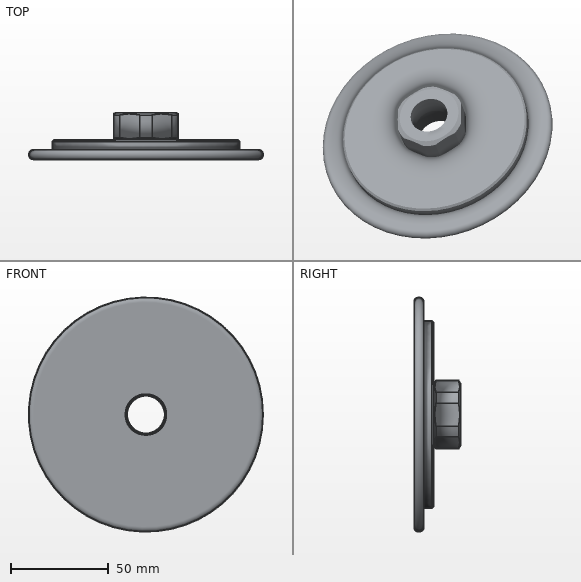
import cadquery as cq
import math

DISC_DIAMETER = 120.0
TOTAL_DEPTH = 24.0
DISC_THICKNESS = TOTAL_DEPTH * 5 / 24
BACKING_DIAMETER = 96.0
BACKING_THICKNESS = DISC_THICKNESS
BACKING_CHAMFER = 1.0
NUT_HEIGHT = TOTAL_DEPTH - DISC_THICKNESS - BACKING_THICKNESS
NUT_ACROSS_FLATS = 33.0
NUT_CORNER_DIAMETER = 35.0
NUT_CHAMFER_WIDTH = 2.2
NUT_CHAMFER_ANGLE = 30.0
DISC_BORE_DIAMETER = 20.0
DISC_BORE_CHAMFER = 0.5
NUT_BORE_DIAMETER = 19.2
SPIGOT_DIAMETER = 24.0
SPIGOT_ENGAGEMENT = 1.8

FRONT_Y = -TOTAL_DEPTH / 2
BACKING_Y = FRONT_Y + DISC_THICKNESS
NUT_Y = BACKING_Y + BACKING_THICKNESS
BACK_Y = NUT_Y + NUT_HEIGHT
SPIGOT_END_Y = NUT_Y + SPIGOT_ENGAGEMENT


def plane_at(y):
    """Plane whose normal points along +Y and whose local x is +X."""
    return cq.Workplane(cq.Plane(origin=(0, y, 0), xDir=(1, 0, 0), normal=(0, 1, 0)))


def revolve_about_y(profile):
    return profile.close().revolve(360, (0, 0, 0), (0, 1, 0))


def make_disc():
    """Disc with a fully rounded rim, a hollow spigot on its back and a bore chamfered at the front."""
    rim_radius = DISC_THICKNESS / 2
    flat_radius = DISC_DIAMETER / 2 - rim_radius
    spigot_radius = SPIGOT_DIAMETER / 2
    bore_radius = DISC_BORE_DIAMETER / 2
    profile = (
        cq.Workplane("XY")
        .moveTo(bore_radius + DISC_BORE_CHAMFER, FRONT_Y)
        .lineTo(flat_radius, FRONT_Y)
        .threePointArc((DISC_DIAMETER / 2, FRONT_Y + rim_radius), (flat_radius, BACKING_Y))
        .lineTo(spigot_radius, BACKING_Y)
        .lineTo(spigot_radius, SPIGOT_END_Y)
        .lineTo(bore_radius, SPIGOT_END_Y)
        .lineTo(bore_radius, FRONT_Y + DISC_BORE_CHAMFER)
    )
    return revolve_about_y(profile)


def make_backing_plate():
    """Ring that fits over the spigot, chamfered around the outer edge of its back."""
    blank = plane_at(BACKING_Y).circle(BACKING_DIAMETER / 2).extrude(BACKING_THICKNESS)
    chamfered = blank.faces(">Y").edges().chamfer(BACKING_CHAMFER)
    hole = plane_at(BACKING_Y).circle(SPIGOT_DIAMETER / 2).extrude(BACKING_THICKNESS)
    return chamfered.cut(hole)


def make_nut():
    """Hexagon with flats at +X and -X, rounded and chamfered at its corners, recessed for the spigot."""
    point_diameter = NUT_ACROSS_FLATS / math.cos(math.radians(30))
    hexagon = (
        plane_at(NUT_Y)
        .transformed(rotate=(0, 0, 30))
        .polygon(6, point_diameter)
        .extrude(NUT_HEIGHT)
    )
    corner_radius = NUT_CORNER_DIAMETER / 2
    end_radius = corner_radius - NUT_CHAMFER_WIDTH
    chamfer_depth = NUT_CHAMFER_WIDTH * math.tan(math.radians(NUT_CHAMFER_ANGLE))
    bore_radius = NUT_BORE_DIAMETER / 2
    recess_radius = SPIGOT_DIAMETER / 2
    envelope = revolve_about_y(
        cq.Workplane("XY")
        .moveTo(bore_radius, SPIGOT_END_Y)
        .lineTo(recess_radius, SPIGOT_END_Y)
        .lineTo(recess_radius, NUT_Y)
        .lineTo(end_radius, NUT_Y)
        .lineTo(corner_radius, NUT_Y + chamfer_depth)
        .lineTo(corner_radius, BACK_Y - chamfer_depth)
        .lineTo(end_radius, BACK_Y)
        .lineTo(bore_radius, BACK_Y)
    )
    return hexagon.intersect(envelope)


disc = make_disc()
backing_plate = make_backing_plate()
nut = make_nut()

result = cq.Compound.makeCompound([disc.val(), backing_plate.val(), nut.val()])